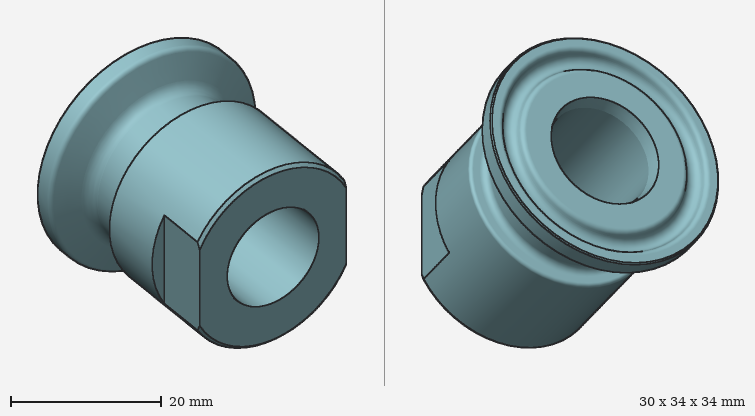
import cadquery as cq
import math

length = 30.0
flange_radius = 17.0
neck_radius = 11.5
barrel_radius = 14.0
barrel_start = 12.0

flange_edge_break = 0.2
rim_flat_end = 2.3
rim_round = 0.8
back_slope = math.radians(20)
neck_flange_fillet = 2.0

neck_barrel_fillet = 1.0
barrel_edge_round = 0.5
barrel_end_chamfer = 0.5

groove_center_radius = 13.7
groove_half_width = 2.0
groove_depth = 1.6
groove_floor_round = 1.2
groove_lip_round = 0.8

bore_radius = 7.5
mouth_radius = 8.0
mouth_depth = 2.0

flats_width = 24.0
flats_start = 22.0


def revolve_about_x(profile):
    return profile.close().revolve(360, (0, 0, 0), (1, 0, 0))


def arc_point(center, radius, angle):
    """Point on a circle, with the angle measured from +X."""
    return (center[0] + radius * math.cos(angle), center[1] + radius * math.sin(angle))


def make_body():
    rim_center = (rim_flat_end, flange_radius - rim_round)
    rim_middle = arc_point(rim_center, rim_round, (math.pi / 2 + back_slope) / 2)
    rim_end = arc_point(rim_center, rim_round, back_slope)

    fillet_center_radius = neck_radius + neck_flange_fillet
    radial_drop = rim_center[1] - fillet_center_radius
    normal_gap = rim_round + neck_flange_fillet
    axial_gap = (normal_gap + radial_drop * math.sin(back_slope)) / math.cos(back_slope)
    fillet_center = (rim_flat_end + axial_gap, fillet_center_radius)
    fillet_start = arc_point(fillet_center, neck_flange_fillet, math.pi + back_slope)
    fillet_middle = arc_point(fillet_center, neck_flange_fillet, (5 * math.pi / 2 + back_slope) / 2)

    step_center = (barrel_start - neck_barrel_fillet, neck_radius + neck_barrel_fillet)
    edge_center = (barrel_start + barrel_edge_round, barrel_radius - barrel_edge_round)

    profile = (
        cq.Workplane("XY")
        .moveTo(0, 0)
        .lineTo(0, flange_radius - flange_edge_break)
        .lineTo(flange_edge_break, flange_radius)
        .lineTo(rim_flat_end, flange_radius)
        .threePointArc(rim_middle, rim_end)
        .lineTo(*fillet_start)
        .threePointArc(fillet_middle, (fillet_center[0], neck_radius))
        .lineTo(step_center[0], neck_radius)
        .threePointArc(
            arc_point(step_center, neck_barrel_fillet, -math.pi / 4),
            (barrel_start, step_center[1]),
        )
        .lineTo(barrel_start, edge_center[1])
        .threePointArc(
            arc_point(edge_center, barrel_edge_round, 3 * math.pi / 4),
            (edge_center[0], barrel_radius),
        )
        .lineTo(length - barrel_end_chamfer, barrel_radius)
        .lineTo(length, barrel_radius - barrel_end_chamfer)
        .lineTo(length, 0)
    )
    return revolve_about_x(profile)


def make_groove():
    lip_center = (groove_lip_round, groove_half_width)
    floor_center = (groove_depth - groove_floor_round, 0)
    axial = lip_center[0] - floor_center[0]
    distance = math.hypot(axial, groove_half_width)
    normal_sum = groove_lip_round + groove_floor_round
    wall_angle = math.atan2(groove_half_width, axial) - math.acos(normal_sum / distance)

    lip_end = arc_point(lip_center, groove_lip_round, wall_angle + math.pi)
    lip_middle = arc_point(lip_center, groove_lip_round, math.pi + wall_angle / 2)
    floor_start = arc_point(floor_center, groove_floor_round, wall_angle)

    def at(point, side):
        return (point[0], groove_center_radius + side * point[1])

    profile = (
        cq.Workplane("XY")
        .moveTo(*at((0, groove_half_width), 1))
        .threePointArc(at(lip_middle, 1), at(lip_end, 1))
        .lineTo(*at(floor_start, 1))
        .threePointArc(at((groove_depth, 0), 1), at(floor_start, -1))
        .lineTo(*at(lip_end, -1))
        .threePointArc(at(lip_middle, -1), at((0, groove_half_width), -1))
    )
    return revolve_about_x(profile)


def make_bore():
    profile = (
        cq.Workplane("XY")
        .lineTo(0, mouth_radius)
        .lineTo(mouth_depth, bore_radius)
        .lineTo(length, bore_radius)
        .lineTo(length, 0)
    )
    return revolve_about_x(profile)


def make_flat_cutter(side):
    """Block that removes the barrel beyond the wrench flat on the given Y side."""
    flat_length = length - flats_start
    block_thickness = barrel_radius
    block_y = side * (flats_width + block_thickness) / 2
    return (
        cq.Workplane("XY")
        .box(flat_length, block_thickness, 2 * barrel_radius)
        .translate((flats_start + flat_length / 2, block_y, 0))
    )


result = make_body().cut(make_groove()).cut(make_bore())
for flat_side in (-1, 1):
    result = result.cut(make_flat_cutter(flat_side))